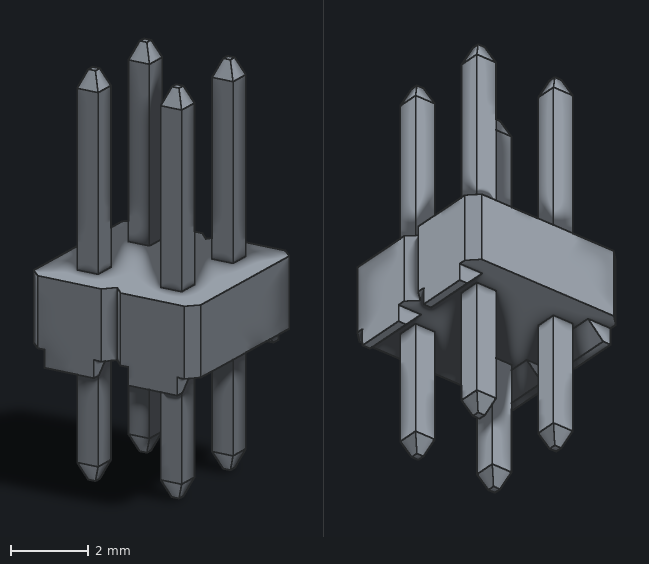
import cadquery as cq

PITCH = 2.54
PINS_PER_SIDE = 2

BODY_LENGTH = PINS_PER_SIDE * PITCH
BODY_WIDTH = 5.0
BODY_HEIGHT = 2.0
CORNER_CUT = 0.31
NOTCH_HALF_WIDTH = 0.29
NOTCH_DEPTH = 0.31

FOOT_LENGTH = 1.5
FOOT_HEIGHT = 0.5
FOOT_BASE_WIDTH = 0.25
FOOT_ROOT_WIDTH = FOOT_BASE_WIDTH + FOOT_HEIGHT

PIN_SIZE = 0.64
TIP_SIZE = 0.22
TIP_HEIGHT = 0.5
PIN_ABOVE_BODY = 5.5
PIN_BELOW_BODY = 3.8

BODY_BOTTOM = FOOT_HEIGHT
BODY_TOP = BODY_BOTTOM + BODY_HEIGHT
PIN_TOP = BODY_TOP + PIN_ABOVE_BODY
PIN_BOTTOM = BODY_BOTTOM - PIN_BELOW_BODY

pin_offsets = [(i - (PINS_PER_SIDE - 1) / 2) * PITCH for i in range(PINS_PER_SIDE)]


def make_body():
    """Block with cut corners and a vertical V notch in each long side."""
    block = (
        cq.Workplane("XY", origin=(0, 0, BODY_BOTTOM))
        .rect(BODY_LENGTH, BODY_WIDTH)
        .extrude(BODY_HEIGHT)
        .edges("|Z")
        .chamfer(CORNER_CUT)
    )
    for side in (-1, 1):
        face_y = side * BODY_WIDTH / 2
        notch = (
            cq.Workplane("XY", origin=(0, 0, BODY_BOTTOM))
            .moveTo(-NOTCH_HALF_WIDTH, face_y)
            .lineTo(NOTCH_HALF_WIDTH, face_y)
            .lineTo(0, face_y - side * NOTCH_DEPTH)
            .close()
            .extrude(BODY_HEIGHT)
        )
        block = block.cut(notch)
    return block


def make_foot(center_x, side):
    """Foot flush with one long side (side = -1 or 1), sloping inward up to the body."""
    outer_y = side * BODY_WIDTH / 2
    return (
        cq.Workplane("YZ", origin=(center_x, 0, 0))
        .moveTo(outer_y, 0)
        .lineTo(outer_y - side * FOOT_BASE_WIDTH, 0)
        .lineTo(outer_y - side * FOOT_ROOT_WIDTH, BODY_BOTTOM)
        .lineTo(outer_y, BODY_BOTTOM)
        .close()
        .extrude(FOOT_LENGTH / 2, both=True)
    )


def make_tip(x, y, base_z, direction):
    """Four-sided taper growing from base_z, upward (1) or downward (-1)."""
    return (
        cq.Workplane("XY", origin=(x, y, base_z))
        .rect(PIN_SIZE, PIN_SIZE)
        .workplane(offset=direction * TIP_HEIGHT)
        .rect(TIP_SIZE, TIP_SIZE)
        .loft(ruled=True)
    )


def make_pin(x, y):
    """Square pin passing through the body, tapered at both ends."""
    shaft_bottom = PIN_BOTTOM + TIP_HEIGHT
    shaft_top = PIN_TOP - TIP_HEIGHT
    shaft = (
        cq.Workplane("XY", origin=(x, y, shaft_bottom))
        .rect(PIN_SIZE, PIN_SIZE)
        .extrude(shaft_top - shaft_bottom)
    )
    return shaft.union(make_tip(x, y, shaft_top, 1)).union(make_tip(x, y, shaft_bottom, -1))


result = make_body()
for column_x in pin_offsets:
    for side in (-1, 1):
        result = result.union(make_foot(column_x, side))
    for row_y in pin_offsets:
        result = result.union(make_pin(column_x, row_y))